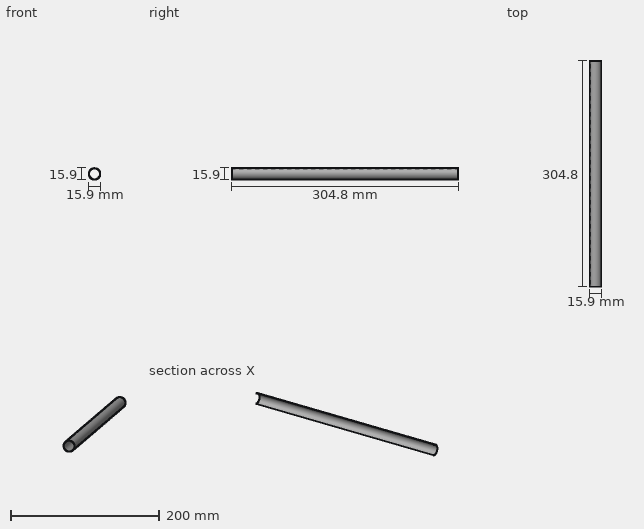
import cadquery as cq

OUTER_DIAMETER = 15.875
WALL_THICKNESS = 0.7112
LENGTH = 304.8

outer_radius = OUTER_DIAMETER / 2
bore_radius = outer_radius - WALL_THICKNESS


def make_tube():
    """Ring section on the +Y end face, extruded toward -Y over the full length."""
    end_face = cq.Workplane("XZ", origin=(0, LENGTH / 2, 0))
    section = end_face.circle(outer_radius).circle(bore_radius)
    return section.extrude(LENGTH)


result = make_tube()